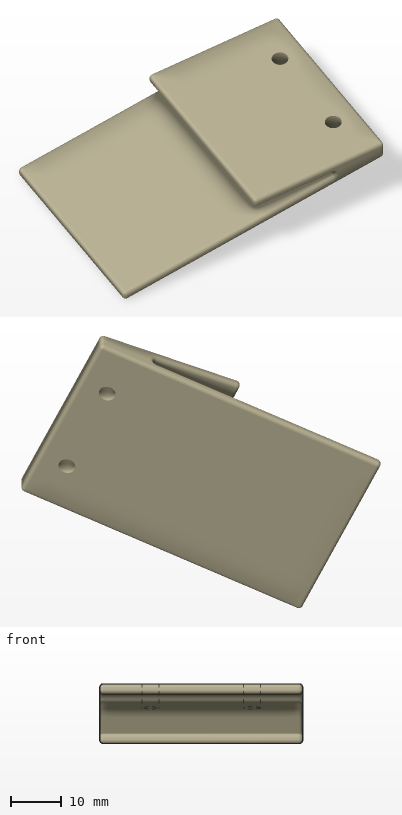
import cadquery as cq
import math

width = 40.0
length = 60.15
height = 11.8

upper_arm_length = 29.95
arm_thickness = 2.0
lower_arm_angle = math.radians(7.5)
slot_radius = 0.7
slot_center_from_back = 12.1
edge_radius = 0.8

hole_diameter = 3.3
hole_spacing = 19.95
hole_from_back = 5.65

back_y = length / 2
front_y = -length / 2
top_z = height / 2

slope = math.tan(lower_arm_angle)
front_round_y = front_y + edge_radius
front_round_z = -height / 2 + edge_radius


def lower_arm_z(y, offset):
    """Height at y of a line parallel to the lower arm, offset squarely above its underside."""
    square_offset = offset - edge_radius
    return front_round_z + (y - front_round_y) * slope + square_offset / math.cos(lower_arm_angle)


def side_profile():
    """Sharp-edged YZ outline: two arms joined at the back, with a round-ended slot between."""
    tip_y = back_y - upper_arm_length
    tip_z = top_z - arm_thickness
    slot_y = back_y - slot_center_from_back
    slot_z = lower_arm_z(slot_y, arm_thickness + slot_radius)

    tip_distance = math.hypot(slot_y - tip_y, slot_z - tip_z)
    upper_angle = math.atan2(slot_z - tip_z, slot_y - tip_y) + math.asin(slot_radius / tip_distance)

    def slot_point(angle):
        return slot_y + slot_radius * math.cos(angle), slot_z + slot_radius * math.sin(angle)

    return (
        cq.Workplane("YZ")
        .moveTo(back_y, top_z)
        .lineTo(tip_y, top_z)
        .lineTo(tip_y, tip_z)
        .lineTo(*slot_point(upper_angle + math.pi / 2))
        .threePointArc(slot_point(0), slot_point(lower_arm_angle - math.pi / 2))
        .lineTo(front_y, lower_arm_z(front_y, arm_thickness))
        .lineTo(front_y, lower_arm_z(front_y, 0))
        .lineTo(back_y, lower_arm_z(back_y, 0))
        .close()
    )


body = side_profile().extrude(width / 2, both=True).edges().fillet(edge_radius)

holes = (
    cq.Workplane("XY", origin=(0, back_y - hole_from_back, -height / 2))
    .pushPoints([(-hole_spacing / 2, 0), (hole_spacing / 2, 0)])
    .circle(hole_diameter / 2)
    .extrude(height)
)

result = body.cut(holes)